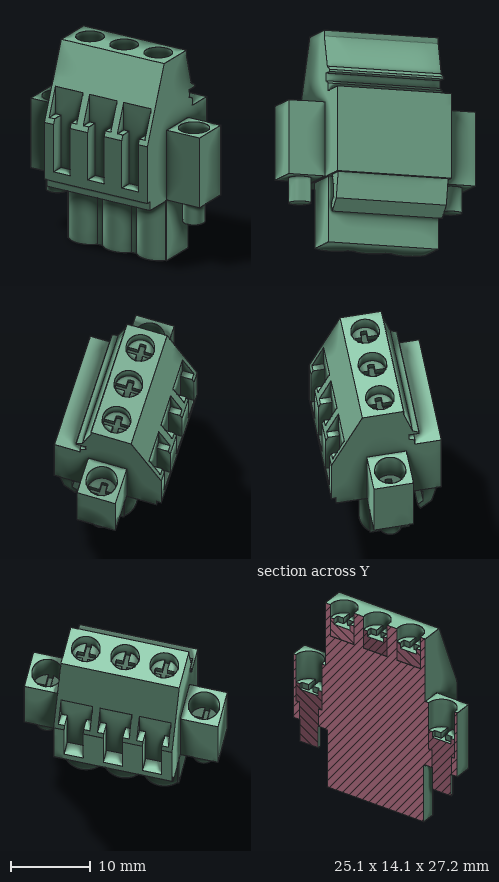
import cadquery as cq


POLE_COUNT = 3
PITCH = 5.05
POLE_XS = [(i - (POLE_COUNT - 1) / 2) * PITCH for i in range(POLE_COUNT)]

BODY_WIDTH = 15.3
BODY_DEPTH = 14.1
BODY_BOTTOM = 8.4
BODY_TOP = 27.2
SLOPE_BOTTOM = 17.27
TOP_FRONT_Y = 3.97
TOP_BACK_Y = 9.28
STEP_DEPTH = 0.63
STEP_TOP = 9.57

SHOULDER_Z = 19.23
NECK_Y = 10.7
NECK_TOP = 20.18
GROOVE_Y = 9.95
GROOVE_BOTTOM = 20.6
GROOVE_TOP = 21.57
LIP_Y = 11.23
LIP_TOP = 21.85
LIP_ROOT_Y = 10.4
LIP_ROOT_Z = 22.39
TAPER_TOP = 26.45

POCKET_DEPTH = 1.77
ENTRY_WIDTH = 4.08
ENTRY_BOTTOM = 17.95
ENTRY_TOP = SLOPE_BOTTOM + POCKET_DEPTH * (BODY_TOP - SLOPE_BOTTOM) / TOP_FRONT_Y
SLOT_WIDTH = 2.45
SLOT_BOTTOM = 10.85

PLUG_WIDTH = 14.75
PLUG_BACK_Y = 10.06
PLUG_FLAT_Y = 5.0
PLUG_FRONT_Y = 4.05
BULGE_WIDTH = 4.27

LATCH_CORNERS = [
    (13.57, BODY_BOTTOM),
    (12.9, 5.15),
    (11.42, 3.7),
    (11.07, 4.73),
    (11.8, 5.45),
    (11.8, 7.18),
    (11.4, BODY_BOTTOM),
]

TOTAL_WIDTH = 25.05
FLANGE_FRONT_Y = 4.55
FLANGE_BACK_Y = 9.6
FLANGE_BOTTOM = 8.5
FLANGE_TOP = 17.95
FLANGE_SCREW_XS = [-2 * PITCH, 2 * PITCH]
FLANGE_SCREW_Y = (FLANGE_FRONT_Y + FLANGE_BACK_Y) / 2

FLANGE_HEAD_DIAMETER = 3.92
FLANGE_HEAD_TOP = 13.87
FLANGE_HEAD_BOTTOM = 11.15
FLANGE_SHANK_DIAMETER = 2.85
FLANGE_SHANK_BOTTOM = 5.3
FLANGE_CROSS_LENGTH = 2.72

CLAMP_SCREW_Y = 6.7
CLAMP_DIAMETER = 3.6
CLAMP_HEAD_TOP = 25.3
CLAMP_BOTTOM = 22.58
CLAMP_CROSS_LENGTH = 2.48

DRIVE_DEPTH = 0.82
DRIVE_SLOT_WIDTH = 0.65
DRIVE_CROSS_WIDTH = 0.8


def box(x_range, y_range, z_range):
    """Box spanning three (low, high) ranges."""
    size = [high - low for low, high in (x_range, y_range, z_range)]
    low_corner = (x_range[0], y_range[0], z_range[0])
    return cq.Workplane("XY").box(*size, centered=False).translate(low_corner)


def cylinder(x, y, diameter, bottom, top):
    """Upright cylinder between two heights."""
    return cq.Workplane("XY", origin=(x, y, bottom)).circle(diameter / 2).extrude(top - bottom)


def extrude_side_profile(corners, width):
    """Prism from (Y, Z) corners, centred on X = 0."""
    return cq.Workplane("YZ").polyline(corners).close().extrude(width / 2, both=True)


def make_body():
    corners = [
        (STEP_DEPTH, BODY_BOTTOM),
        (STEP_DEPTH, STEP_TOP),
        (0, STEP_TOP),
        (0, SLOPE_BOTTOM),
        (TOP_FRONT_Y, BODY_TOP),
        (TOP_BACK_Y, BODY_TOP),
        (TOP_BACK_Y, TAPER_TOP),
        (LIP_ROOT_Y, LIP_ROOT_Z),
        (LIP_Y, LIP_TOP),
        (LIP_Y, GROOVE_TOP),
        (GROOVE_Y, GROOVE_TOP),
        (GROOVE_Y, GROOVE_BOTTOM),
        (NECK_Y, NECK_TOP),
        (NECK_Y, SHOULDER_Z),
        (BODY_DEPTH, SHOULDER_Z),
        (BODY_DEPTH, BODY_BOTTOM),
    ]
    return extrude_side_profile(corners, BODY_WIDTH)


def make_plug():
    outline = cq.Workplane("XY").moveTo(-PLUG_WIDTH / 2, PLUG_BACK_Y).lineTo(-PLUG_WIDTH / 2, PLUG_FLAT_Y)
    for x in POLE_XS:
        outline = outline.lineTo(x - BULGE_WIDTH / 2, PLUG_FLAT_Y)
        outline = outline.threePointArc((x, PLUG_FRONT_Y), (x + BULGE_WIDTH / 2, PLUG_FLAT_Y))
    outline = outline.lineTo(PLUG_WIDTH / 2, PLUG_FLAT_Y).lineTo(PLUG_WIDTH / 2, PLUG_BACK_Y)
    return outline.close().extrude(BODY_BOTTOM)


def make_flanges():
    return box(
        (-TOTAL_WIDTH / 2, TOTAL_WIDTH / 2),
        (FLANGE_FRONT_Y, FLANGE_BACK_Y),
        (FLANGE_BOTTOM, FLANGE_TOP),
    )


def wire_pocket(x):
    """T-shaped wire entry: a wide mouth above a narrow slot."""
    depth = (0, POCKET_DEPTH)
    mouth = box((x - ENTRY_WIDTH / 2, x + ENTRY_WIDTH / 2), depth, (ENTRY_BOTTOM, ENTRY_TOP))
    slot = box((x - SLOT_WIDTH / 2, x + SLOT_WIDTH / 2), depth, (SLOT_BOTTOM, ENTRY_TOP))
    return mouth.union(slot)


def clamp_screw_hole(x):
    return cylinder(x, CLAMP_SCREW_Y, CLAMP_DIAMETER, CLAMP_BOTTOM, BODY_TOP)


def flange_screw_hole(x):
    """Through hole for the shank with a counterbore that holds the head."""
    shank_hole = cylinder(x, FLANGE_SCREW_Y, FLANGE_SHANK_DIAMETER, FLANGE_BOTTOM, FLANGE_TOP)
    head_hole = cylinder(x, FLANGE_SCREW_Y, FLANGE_HEAD_DIAMETER, FLANGE_HEAD_BOTTOM, FLANGE_TOP)
    return shank_hole.union(head_hole)


def make_housing():
    housing = make_body().union(make_flanges()).union(make_plug())
    housing = housing.union(extrude_side_profile(LATCH_CORNERS, PLUG_WIDTH))
    for x in POLE_XS:
        housing = housing.cut(wire_pocket(x)).cut(clamp_screw_hole(x))
    for x in FLANGE_SCREW_XS:
        housing = housing.cut(flange_screw_hole(x))
    return housing


def drive_recess(x, y, head_diameter, cross_length, head_top):
    """Slot across the whole head, crossed by a shorter recess with rounded ends."""
    z_range = (head_top - DRIVE_DEPTH, head_top)
    slot = box(
        (x - DRIVE_SLOT_WIDTH / 2, x + DRIVE_SLOT_WIDTH / 2),
        (y - head_diameter / 2, y + head_diameter / 2),
        z_range,
    )
    cross = box(
        (x - cross_length / 2, x + cross_length / 2),
        (y - DRIVE_CROSS_WIDTH / 2, y + DRIVE_CROSS_WIDTH / 2),
        z_range,
    )
    rounded_cross = cross.intersect(cylinder(x, y, cross_length, *z_range))
    return slot.union(rounded_cross)


def make_clamp_screw(x):
    screw = cylinder(x, CLAMP_SCREW_Y, CLAMP_DIAMETER, CLAMP_BOTTOM, CLAMP_HEAD_TOP)
    return screw.cut(drive_recess(x, CLAMP_SCREW_Y, CLAMP_DIAMETER, CLAMP_CROSS_LENGTH, CLAMP_HEAD_TOP))


def make_flange_screw(x):
    head = cylinder(x, FLANGE_SCREW_Y, FLANGE_HEAD_DIAMETER, FLANGE_HEAD_BOTTOM, FLANGE_HEAD_TOP)
    shank = cylinder(x, FLANGE_SCREW_Y, FLANGE_SHANK_DIAMETER, FLANGE_SHANK_BOTTOM, FLANGE_HEAD_BOTTOM)
    recess = drive_recess(x, FLANGE_SCREW_Y, FLANGE_HEAD_DIAMETER, FLANGE_CROSS_LENGTH, FLANGE_HEAD_TOP)
    return head.union(shank).cut(recess)


housing = make_housing()
clamp_screws = [make_clamp_screw(x) for x in POLE_XS]
flange_screws = [make_flange_screw(x) for x in FLANGE_SCREW_XS]

result = cq.Compound.makeCompound(
    [housing.val()] + [screw.val() for screw in clamp_screws + flange_screws]
)